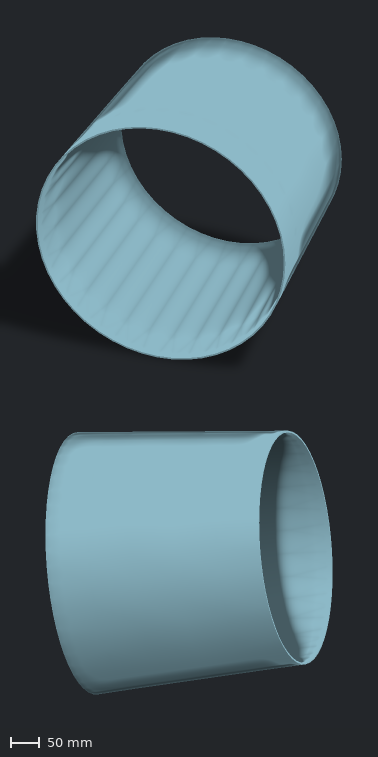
import cadquery as cq

large_diameter = 456.0
small_diameter = 406.5
length = 381.0
wall = 3.0

large_radius = large_diameter / 2
small_radius = small_diameter / 2
front_y = -length / 2
back_y = length / 2

wall_section = (
    cq.Workplane("XY")
    .moveTo(large_radius - wall, front_y)
    .lineTo(large_radius, front_y)
    .lineTo(small_radius, back_y)
    .lineTo(small_radius - wall, back_y)
    .close()
)

result = wall_section.revolve(360, (0, 0, 0), (0, 1, 0))